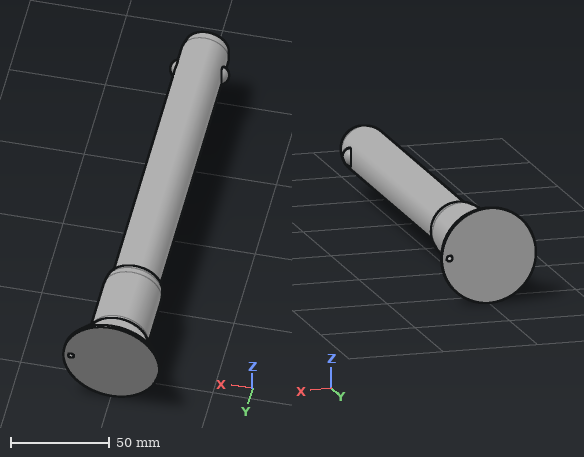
import cadquery as cq

total_length = 226.8
head_length = 55.0
shank_length = total_length - head_length

head_radius = 25.0
rim_thickness = 1.5
flare_length = 16.0
neck_radius = 15.6
neck_length = 2.0
sleeve_diameter = 30.6
sleeve_radius = sleeve_diameter / 2
sleeve_nose_length = 5.5
nose_band_length = 2.0
nose_band_radius = 15.0
nose_radius = 14.5

shank_radius = 12.5
tip_length = 5.5
tip_radius = 11.3
tip_bulge_radius = 12.0

ball_radius = 5.0
ball_from_tip = 17.7

hole_diameter = 3.0
hole_offset = 20.9


def make_body():
    """Revolve the half outline of tip, shank, sleeve and head about Y."""
    tip_y = -shank_length
    flare_y = head_length - flare_length
    return (
        cq.Workplane("XY")
        .moveTo(0, tip_y)
        .lineTo(tip_radius, tip_y)
        .threePointArc((tip_bulge_radius, tip_y + tip_length / 2), (shank_radius, tip_y + tip_length))
        .lineTo(shank_radius, 0)
        .lineTo(nose_radius, 0)
        .lineTo(nose_band_radius, nose_band_length)
        .lineTo(sleeve_radius, sleeve_nose_length)
        .lineTo(sleeve_radius, flare_y - neck_length)
        .lineTo(neck_radius, flare_y)
        .lineTo(head_radius, head_length - rim_thickness)
        .lineTo(head_radius, head_length)
        .lineTo(0, head_length)
        .close()
        .revolve(360, (0, 0, 0), (0, 1, 0))
    )


def make_ball(side):
    """Locking ball on the +X (side = 1) or -X (side = -1) flank of the shank."""
    center_x = side * (sleeve_radius - ball_radius)
    center_y = ball_from_tip - shank_length
    return cq.Workplane("XY").sphere(ball_radius).translate((center_x, center_y, 0))


def make_lanyard_hole():
    """Cutter parallel to Y, passing through the whole flare."""
    return (
        cq.Workplane("XZ", origin=(hole_offset, head_length, 0))
        .circle(hole_diameter / 2)
        .extrude(flare_length)
    )


result = make_body()
for flank in (1, -1):
    result = result.union(make_ball(flank))
result = result.cut(make_lanyard_hole())